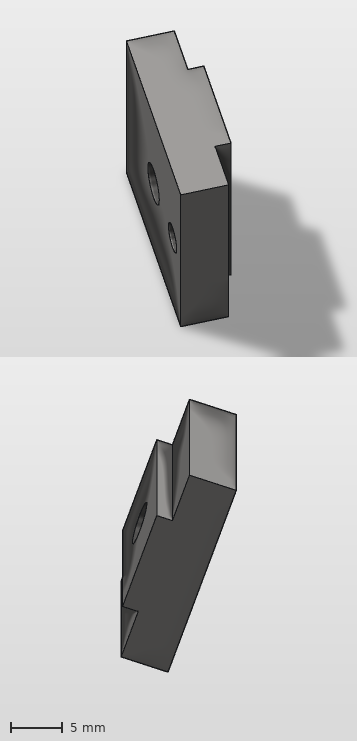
import cadquery as cq

side = 20.0
plate_thickness = 4.8

rib_width = side / 2
rib_height = 1.6

through_diameter = 4.2
pin_diameter = 3.0
pin_offset = 7.0
pin_depth = 4.0

total_depth = plate_thickness + rib_height


def block(width, depth):
    """Full-height block centred on X and Z, reaching back from the front face."""
    return cq.Workplane("XY").box(width, depth, side, centered=(True, False, True))


def bore(x, diameter, depth):
    """Cylinder along +Y from the front face, at mid-height."""
    return cq.Workplane("XZ").center(x, 0).circle(diameter / 2).extrude(-depth)


body = block(side, plate_thickness).union(block(rib_width, total_depth))
through_hole = bore(0, through_diameter, total_depth)
pin_hole = bore(pin_offset, pin_diameter, pin_depth)

result = body.cut(through_hole).cut(pin_hole)